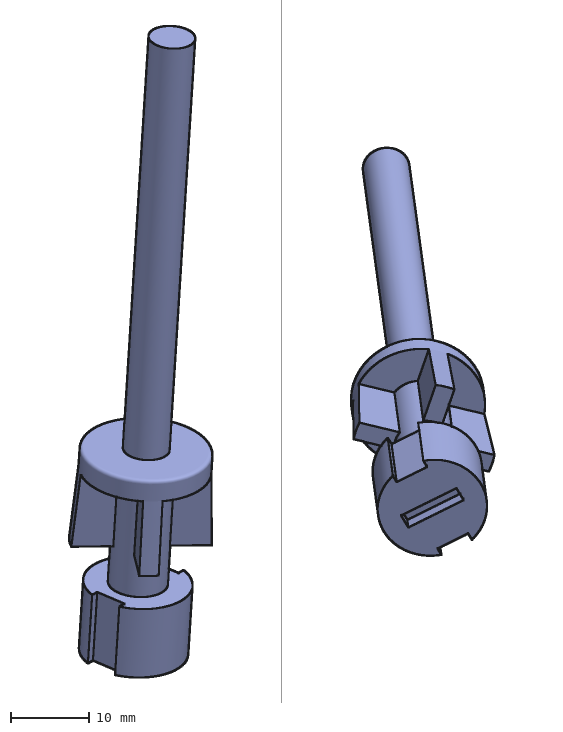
import cadquery as cq
import math

FULL_TURN = 360.0

TILT_ANGLE = 5.0

SHAFT_LENGTH = 60.0
FLANGE_THICKNESS = 3.0
FIN_HEIGHT = 10.5
NECK_GAP = 6.0
DRUM_HEIGHT = 10.0

SHAFT_DIAMETER = 6.0
STEM_DIAMETER = 7.7
FLANGE_DIAMETER = 17.0
FLANGE_FILLET = 0.5
DRUM_DIAMETER = 14.0

FIN_COUNT = 4
FIN_THICKNESS = 2.5
FIN_FLARE_ANGLE = 3.4
FIRST_FIN_ANGLE = 58.3

NOTCH_WIDTH = 4.4
NOTCH_DEPTH = 1.4
NOTCH_ANGLE = FIRST_FIN_ANGLE + FULL_TURN / (2 * FIN_COUNT)
NOTCH_COUNT = 2

SLOT_LENGTH = 8.0
SLOT_WIDTH = 2.0
SLOT_DEPTH = 2.0
SLOT_ANGLE = NOTCH_ANGLE - 90.0

FIN_TOP = -FLANGE_THICKNESS
FIN_BOTTOM = FIN_TOP - FIN_HEIGHT
DRUM_TOP = FIN_BOTTOM - NECK_GAP
DRUM_BOTTOM = DRUM_TOP - DRUM_HEIGHT

AXES_ORIGIN = (0, 0, 0)
TILT_AXIS_END = (0, 1, 0)
MAIN_AXIS_END = (0, 0, 1)


def cylinder(diameter, bottom, top):
    return cq.Workplane("XY").workplane(offset=bottom).circle(diameter / 2).extrude(top - bottom)


def box(length, width, bottom, top, center_x=0.0):
    plane = cq.Workplane("XY").workplane(offset=bottom)
    return plane.center(center_x, 0).rect(length, width).extrude(top - bottom)


def turned(shape, angle):
    return shape.rotate(AXES_ORIGIN, MAIN_AXIS_END, angle)


def make_flange():
    flange = cylinder(FLANGE_DIAMETER, -FLANGE_THICKNESS, 0)
    return flange.faces(">Z").edges().fillet(FLANGE_FILLET)


def make_fins():
    """Radial fins whose tips lie on a cone that widens downward from the flange rim."""
    top_radius = FLANGE_DIAMETER / 2
    bottom_radius = top_radius + FIN_HEIGHT * math.tan(math.radians(FIN_FLARE_ANGLE))
    tip_cone = cq.Workplane("XY").add(
        cq.Solid.makeCone(bottom_radius, top_radius, FIN_HEIGHT, pnt=cq.Vector(0, 0, FIN_BOTTOM))
    )
    fin_length = 2 * top_radius
    fin_bar = box(fin_length, FIN_THICKNESS, FIN_BOTTOM, FIN_TOP, fin_length / 2)
    fins = cq.Workplane("XY")
    for index in range(FIN_COUNT):
        fins = fins.union(turned(fin_bar, FIRST_FIN_ANGLE + index * FULL_TURN / FIN_COUNT))
    return fins.intersect(tip_cone)


def make_drum():
    drum = cylinder(DRUM_DIAMETER, DRUM_BOTTOM, DRUM_TOP)
    notch_floor = DRUM_DIAMETER / 2 - NOTCH_DEPTH
    cutter_length = DRUM_DIAMETER / 2
    cutter_center = notch_floor + cutter_length / 2
    cutter = box(cutter_length, NOTCH_WIDTH, DRUM_BOTTOM, DRUM_TOP, cutter_center)
    for index in range(NOTCH_COUNT):
        drum = drum.cut(turned(cutter, NOTCH_ANGLE + index * FULL_TURN / NOTCH_COUNT))
    slot = box(SLOT_LENGTH, SLOT_WIDTH, DRUM_BOTTOM, DRUM_BOTTOM + SLOT_DEPTH)
    return drum.cut(turned(slot, SLOT_ANGLE))


shaft = cylinder(SHAFT_DIAMETER, 0, SHAFT_LENGTH)
stem = cylinder(STEM_DIAMETER, DRUM_TOP, -FLANGE_THICKNESS)

upright = make_flange().union(shaft).union(stem).union(make_fins()).union(make_drum())
result = upright.rotate(AXES_ORIGIN, TILT_AXIS_END, TILT_ANGLE)